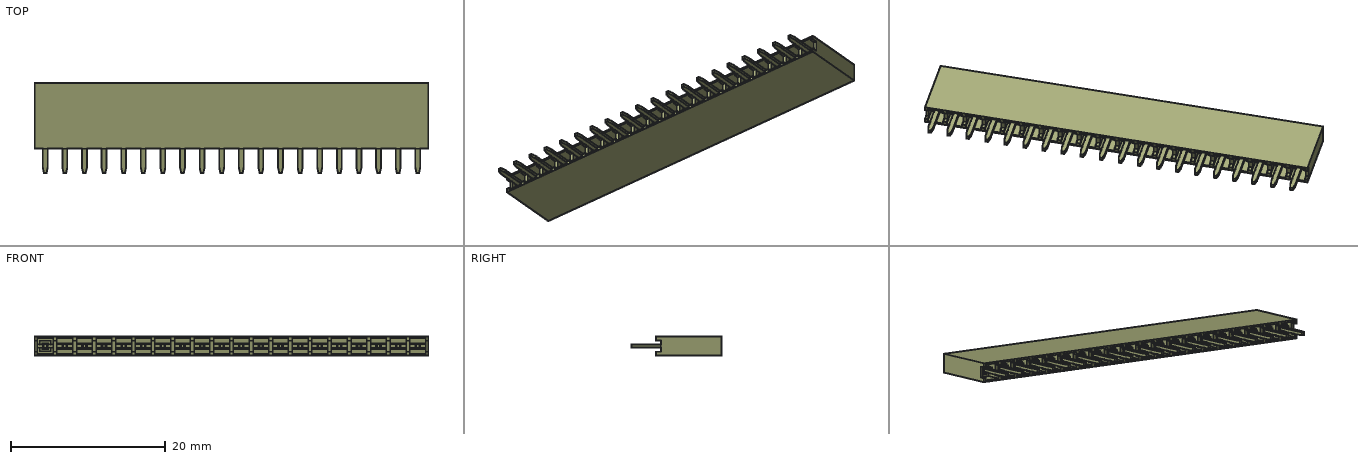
import cadquery as cq

length = 51.05
depth = 11.7
height = 2.5

body_depth = 8.5
groove_depth = 0.65
groove_height = 1.45

pin_count = 20
end_margin = 1.4
pitch = (length - 2 * end_margin) / (pin_count - 1)
pin_width = 0.65
pin_thickness = 0.4
tip_width = 0.35
tip_length = 0.7

pocket_size = 2.05
pocket_depth = 2.05
plate_thickness = 0.45
plate_setback = 1.3
web_thickness = 0.75
web_setback = 1.55

socket_size = 1.4
socket_depth = 1.0
shank_width = 0.8

front_y = depth - body_depth
groove_y = front_y + groove_depth
pocket_y = front_y + pocket_depth
plate_y = front_y + plate_setback
web_y = front_y + web_setback
socket_y = pocket_y + socket_depth
first_x = end_margin - length / 2
pin_xs = [first_x + i * pitch for i in range(pin_count)]


def block(x_size, y_start, y_end, z_size, x_center=0):
    """Box centred on the given X and on Z = 0, running between two Y positions."""
    box = cq.Workplane("XY").box(x_size, y_end - y_start, z_size)
    return box.translate((x_center, (y_start + y_end) / 2, 0))


def pin(x):
    """Flat pin with a tip narrowed across its width."""
    half_width = pin_width / 2
    half_tip = tip_width / 2
    outline = [
        (-half_width, pocket_y),
        (-half_width, tip_length),
        (-half_tip, 0),
        (half_tip, 0),
        (half_width, tip_length),
        (half_width, pocket_y),
    ]
    blade = cq.Workplane("XY").polyline(outline).close().extrude(pin_thickness / 2, both=True)
    return blade.translate((x, 0, 0))


body = block(length, front_y, depth, height)
body = body.cut(block(length, front_y, groove_y, groove_height))

for x in pin_xs:
    body = body.cut(block(pocket_size, front_y, pocket_y, pocket_size, x))
body = body.cut(block(socket_size, pocket_y, socket_y, socket_size, first_x))

for x in pin_xs:
    body = body.union(block(pocket_size, plate_y, pocket_y, plate_thickness, x))
    body = body.union(pin(x))

body = body.union(block(shank_width, web_y, socket_y, web_thickness, first_x))
for x in pin_xs[1:]:
    body = body.union(block(pocket_size, web_y, pocket_y, web_thickness, x))

result = body